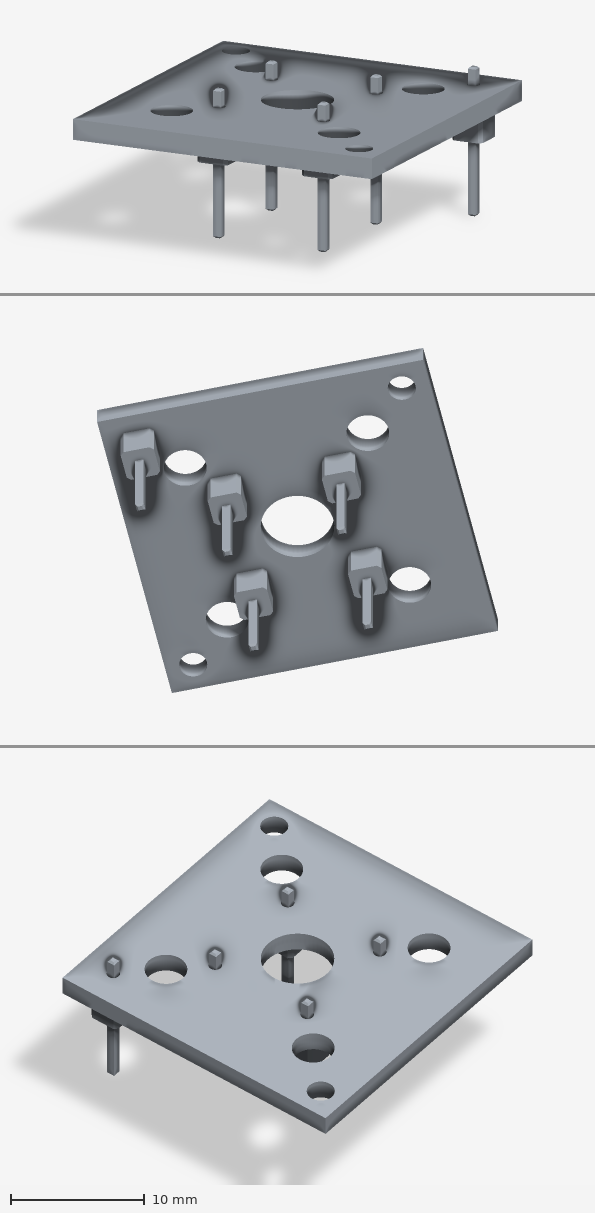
import cadquery as cq

board_side = 25.0
board_thickness = 1.6
center_hole_diameter = 5.5
screw_hole_diameter = 3.2
screw_hole_offset = 7.0
corner_hole_diameter = 2.1
corner_hole_offset = 10.38
pin_hole_diameter = 1.0

total_height = 11.55
wire_width = 0.65
tip_chamfer = 0.15
block_width = 2.55
block_height = 2.55
block_corner_chamfer = 0.28
wire_above_board = 1.4
wire_top = board_thickness + wire_above_board
wire_bottom = wire_top - total_height

pin_offset = 4.38
corner_pin_offset = 9.8


def four_corners(offset):
    """Corners of a centred square whose sides lie at the given offset."""
    return [(x, y) for x in (-offset, offset) for y in (-offset, offset)]


pin_places = four_corners(pin_offset) + [(corner_pin_offset, corner_pin_offset)]


def make_board():
    """Square plate with all its through holes."""
    board = cq.Workplane("XY").box(board_side, board_side, board_thickness, centered=(True, True, False))
    top = board.faces(">Z").workplane()
    corner_places = [(-corner_hole_offset, corner_hole_offset), (corner_hole_offset, -corner_hole_offset)]
    hole_groups = [
        (center_hole_diameter, [(0, 0)]),
        (screw_hole_diameter, four_corners(screw_hole_offset)),
        (corner_hole_diameter, corner_places),
        (pin_hole_diameter, pin_places),
    ]
    for diameter, places in hole_groups:
        board = board.cut(top.pushPoints(places).circle(diameter / 2).extrude(-board_thickness, combine=False))
    return board


def make_header_pin(place):
    """Wire with chamfered tips and its block, which sits against the underside of the board."""
    wire = (
        cq.Workplane("XY", origin=(0, 0, wire_bottom))
        .rect(wire_width, wire_width)
        .extrude(total_height)
        .faces("<Z or >Z")
        .chamfer(tip_chamfer)
    )
    block = (
        cq.Workplane("XY")
        .rect(block_width, block_width)
        .extrude(-block_height)
        .edges("|Z")
        .chamfer(block_corner_chamfer)
    )
    return wire.union(block).translate((*place, 0))


board = make_board()
header_pins = [make_header_pin(place) for place in pin_places]

result = cq.Compound.makeCompound([board.solids().val(), *[pin.val() for pin in header_pins]])